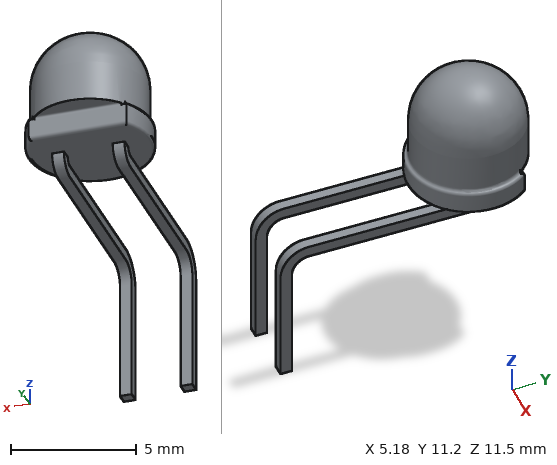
import cadquery as cq
import math

lens_diameter = 4.81
lens_radius = lens_diameter / 2
lens_height = 5.0
dome_radius = 2.3
flange_radius = 2.59
flange_height = 1.0
flange_flat_y = 1.58
edge_radius = 0.15
underside_cove_radius = 0.07
cove_overlap = 0.06

lead_width = 0.5
lead_pitch = 2.54
lead_gap = 0.26
first_bend_radius = lead_gap
second_bend_radius = 0.73
lead_reach = 8.75
lead_bottom_z = -6.51


def make_flange():
    disc = cq.Workplane("XY").circle(flange_radius).extrude(flange_height)
    flat_cutter = (
        cq.Workplane("XY")
        .box(2 * flange_radius, flange_radius, flange_height, centered=(True, False, False))
        .translate((0, flange_flat_y, 0))
    )
    return disc.cut(flat_cutter).faces("<Z or >Z").edges().fillet(edge_radius)


def make_dome():
    return (
        cq.Workplane("XY", origin=(0, 0, flange_height))
        .circle(lens_radius)
        .extrude(lens_height - flange_height)
        .faces(">Z")
        .edges()
        .fillet(dome_radius)
    )


def make_wall_cove():
    """Ring that blends the rounded flange edge into the lens wall, stopping at the flat."""
    round_center = (flange_radius - edge_radius, flange_height - edge_radius)
    cove_center_r = lens_radius + edge_radius
    offset = cove_center_r - round_center[0]
    rise = math.sqrt((2 * edge_radius) ** 2 - offset**2)
    cove_center_z = round_center[1] + rise
    touch = (round_center[0] + offset / 2, round_center[1] + rise / 2)
    ring = (
        cq.Workplane("XZ")
        .moveTo(lens_radius - cove_overlap, flange_height - edge_radius)
        .lineTo(*round_center)
        .lineTo(*touch)
        .radiusArc((lens_radius, cove_center_z), edge_radius)
        .lineTo(lens_radius - cove_overlap, cove_center_z)
        .close()
        .revolve(360, (0, 0, 0), (0, 1, 0))
    )
    beyond_flat = (
        cq.Workplane("XY")
        .box(2 * flange_radius, flange_radius, lens_height, centered=(True, False, False))
        .translate((0, flange_flat_y - edge_radius, 0))
    )
    return ring.cut(beyond_flat)


def make_underside_cove():
    """Straight blend between the rounded flat and the lens underside that overhangs it."""
    round_y = flange_flat_y - edge_radius
    round_z = flange_height - edge_radius
    cove_center_z = flange_height - underside_cove_radius
    center_distance = edge_radius + underside_cove_radius
    rise = cove_center_z - round_z
    offset = math.sqrt(center_distance**2 - rise**2)
    share = edge_radius / center_distance
    touch = (round_y + offset * share, round_z + rise * share)
    cove = (
        cq.Workplane("YZ")
        .moveTo(round_y, flange_height)
        .lineTo(round_y, round_z)
        .lineTo(*touch)
        .radiusArc((round_y + offset, flange_height), underside_cove_radius)
        .close()
        .extrude(flange_radius, both=True)
    )
    below_lens = cq.Workplane("XY").circle(lens_radius).extrude(flange_height)
    return cove.intersect(below_lens)


def make_lens():
    lens = make_flange().union(make_dome())
    return lens.union(make_wall_cove()).union(make_underside_cove())


def make_lead(center_x):
    half = lead_width / 2
    centerline_first = first_bend_radius + half
    centerline_second = second_bend_radius + half
    run_z = -lead_gap - half
    path = (
        cq.Workplane("YZ", origin=(center_x, 0, 0))
        .moveTo(0, 0)
        .radiusArc((-centerline_first, run_z), centerline_first)
        .lineTo(-lead_reach + half + centerline_second, run_z)
        .radiusArc((-lead_reach + half, run_z - centerline_second), -centerline_second)
        .lineTo(-lead_reach + half, lead_bottom_z)
    )
    return cq.Workplane("XY", origin=(center_x, 0, 0)).rect(lead_width, lead_width).sweep(path)


lens = make_lens()
leads = [make_lead(side * lead_pitch / 2) for side in (-1, 1)]
result = cq.Compound.makeCompound([lens.val(), *[lead.val() for lead in leads]])